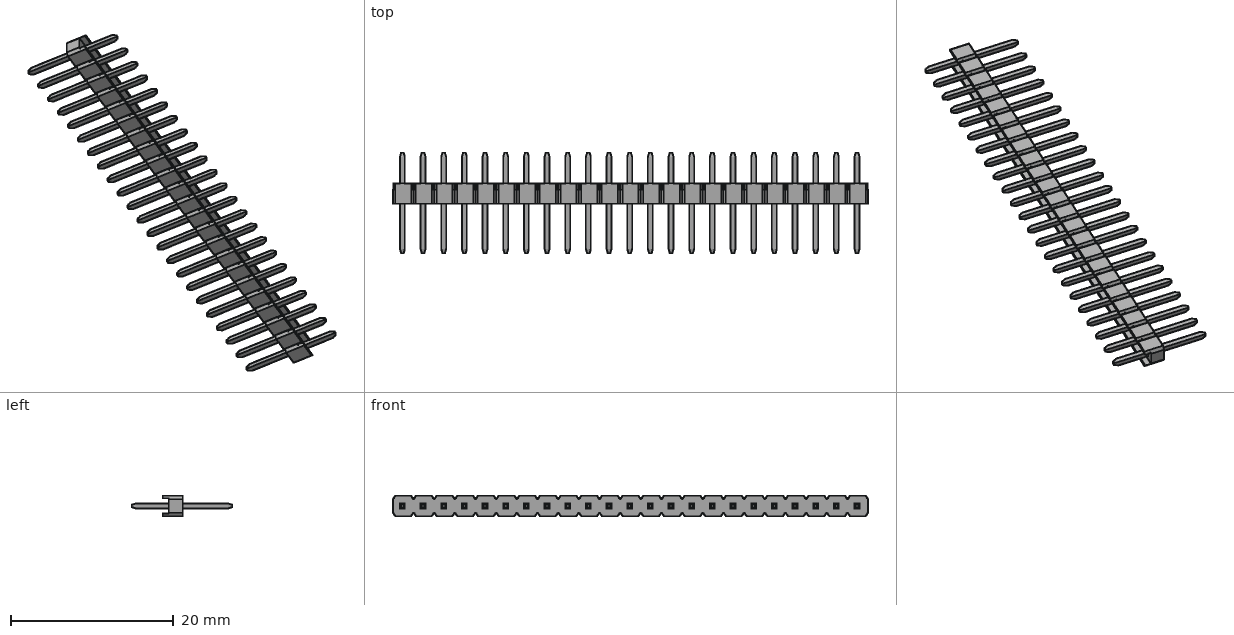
import cadquery as cq


total_length = 58.4
pin_count = 23
pitch = total_length / pin_count

body_height = pitch
body_depth = 2.5
bevel_x = 0.305
bevel_z = 0.44

recess_depth = 0.75
lip_thickness = 0.35

pin_width = 0.65
tip_width = 0.32
tip_length = 0.54
front_reach = 6.1
rear_reach = 3.8
pin_offset_x = -0.1

front_face = -body_depth / 2
rear_face = body_depth / 2
pin_front = front_face - front_reach
pin_rear = rear_face + rear_reach


def body_cell(x):
    """Octagonal prism centred at x, extruded from the front face to the rear face."""
    half_x = pitch / 2
    half_z = body_height / 2
    flat_x = half_x - bevel_x
    flat_z = half_z - bevel_z
    outline = [
        (-flat_x, -half_z),
        (flat_x, -half_z),
        (half_x, -flat_z),
        (half_x, flat_z),
        (flat_x, half_z),
        (-flat_x, half_z),
        (-half_x, flat_z),
        (-half_x, -flat_z),
    ]
    cell = cq.Workplane("XZ").polyline(outline).close().extrude(body_depth)
    return cell.translate((x, rear_face, 0))


def rear_recess():
    """Full-length channel that opens at the rear face."""
    return cq.Workplane("XY").box(
        total_length, recess_depth, body_height - 2 * lip_thickness
    ).translate((0, rear_face - recess_depth / 2, 0))


def tapered_tip(x, shoulder_y, end_y):
    """Square pyramid frustum narrowing from the pin shoulder to the pin end."""
    return (
        cq.Workplane("XZ", origin=(x, shoulder_y, 0))
        .rect(pin_width, pin_width)
        .workplane(offset=shoulder_y - end_y)
        .rect(tip_width, tip_width)
        .loft(ruled=True)
    )


def pin(x):
    """One straight pin with both tips, passing through the body at x."""
    front_shoulder = pin_front + tip_length
    rear_shoulder = pin_rear - tip_length
    bar = cq.Workplane("XY").box(pin_width, rear_shoulder - front_shoulder, pin_width)
    bar = bar.translate((x, (front_shoulder + rear_shoulder) / 2, 0))
    front_tip = tapered_tip(x, front_shoulder, pin_front)
    rear_tip = tapered_tip(x, rear_shoulder, pin_rear)
    return bar.union(front_tip).union(rear_tip)


cell_centres = [(i - (pin_count - 1) / 2) * pitch for i in range(pin_count)]

cells = [body_cell(x).val() for x in cell_centres]
body = cq.Workplane(cells[0].fuse(*cells[1:]).clean()).cut(rear_recess())

pins = [pin(x + pin_offset_x).val() for x in cell_centres]
header = body.val().fuse(*pins).clean()

result = cq.Workplane(header.Solids()[0])